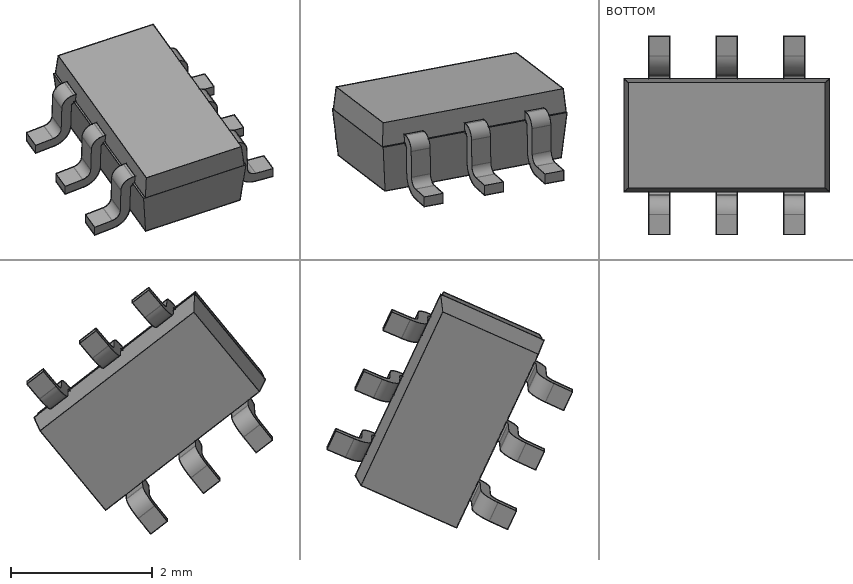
import cadquery as cq
import math


housing_length = 2.9
lower_width = 1.607
upper_width = 1.552
draft_angle = 5.0
housing_bottom = 0.05
parting_height = 0.75
housing_top = 1.1

leads_per_side = 3
lead_pitch = 0.95
lead_width = 0.3
lead_thickness = 0.15
lead_span = 2.8
lead_top = 0.873
lead_embed = 0.1
upper_bend_inner_radius = 0.035
lower_bend_inner_radius = 0.135
leg_lean = 1.5
foot_slope = 4.0

upper_bend_outer_radius = upper_bend_inner_radius + lead_thickness
lower_bend_outer_radius = lower_bend_inner_radius + lead_thickness
bend_start = lower_width / 2
embedded_end = bend_start - lead_embed
tip = lead_span / 2


def polar(centre, radius, degrees):
    """Point at a distance and direction from a centre in the lead's side plane."""
    angle = math.radians(degrees)
    return (centre[0] + radius * math.cos(angle), centre[1] + radius * math.sin(angle))


def find_lower_bend_centre(upper_centre):
    """Slide along the leg until the underside of the foot meets Z = 0 at the tip."""
    leg_start = polar(upper_centre, upper_bend_outer_radius + lower_bend_inner_radius, leg_lean)
    slope = math.radians(foot_slope)
    height_above_foot = leg_start[1] * math.cos(slope) + (leg_start[0] - tip) * math.sin(slope)
    approach_rate = math.cos(math.radians(leg_lean + foot_slope))
    leg_length = (height_above_foot - lower_bend_outer_radius) / approach_rate
    return polar(leg_start, leg_length, leg_lean - 90)


def make_lead(x):
    """Gull-wing lead on the +Y side, centred at the given X."""
    upper_centre = (bend_start, lead_top - upper_bend_outer_radius)
    lower_centre = find_lower_bend_centre(upper_centre)

    upper_from, upper_to = 90, leg_lean
    upper_mid = (upper_from + upper_to) / 2
    lower_from, lower_to = 180 + leg_lean, 270 - foot_slope
    lower_mid = (lower_from + lower_to) / 2
    tip_height = lead_thickness / math.cos(math.radians(foot_slope))

    profile = (
        cq.Workplane("YZ", origin=(x - lead_width / 2, 0, 0))
        .moveTo(embedded_end, lead_top)
        .lineTo(*polar(upper_centre, upper_bend_outer_radius, upper_from))
        .threePointArc(
            polar(upper_centre, upper_bend_outer_radius, upper_mid),
            polar(upper_centre, upper_bend_outer_radius, upper_to),
        )
        .lineTo(*polar(lower_centre, lower_bend_inner_radius, lower_from))
        .threePointArc(
            polar(lower_centre, lower_bend_inner_radius, lower_mid),
            polar(lower_centre, lower_bend_inner_radius, lower_to),
        )
        .lineTo(tip, tip_height)
        .lineTo(tip, 0)
        .lineTo(*polar(lower_centre, lower_bend_outer_radius, lower_to))
        .threePointArc(
            polar(lower_centre, lower_bend_outer_radius, lower_mid),
            polar(lower_centre, lower_bend_outer_radius, lower_from),
        )
        .lineTo(*polar(upper_centre, upper_bend_inner_radius, upper_to))
        .threePointArc(
            polar(upper_centre, upper_bend_inner_radius, upper_mid),
            polar(upper_centre, upper_bend_inner_radius, upper_from),
        )
        .lineTo(embedded_end, lead_top - lead_thickness)
        .close()
    )
    return profile.extrude(lead_width)


def make_leads():
    """Matching rows of leads along the +Y and -Y sides."""
    leads = []
    for index in range(leads_per_side):
        x = (index - (leads_per_side - 1) / 2) * lead_pitch
        lead = make_lead(x)
        leads.append(lead)
        leads.append(lead.mirror("XZ"))
    return leads


def make_housing_half(width, height, leads):
    """Drafted block from the parting plane, recessed for the leads; negative heights go down."""
    half = (
        cq.Workplane("XY", origin=(0, 0, parting_height))
        .rect(housing_length, width)
        .extrude(height, taper=draft_angle)
    )
    for lead in leads:
        half = half.cut(lead)
    return half


leads = make_leads()
lower_housing = make_housing_half(lower_width, housing_bottom - parting_height, leads)
upper_housing = make_housing_half(upper_width, housing_top - parting_height, leads)

result = cq.Compound.makeCompound(
    [lower_housing.val(), upper_housing.val(), *[lead.val() for lead in leads]]
)